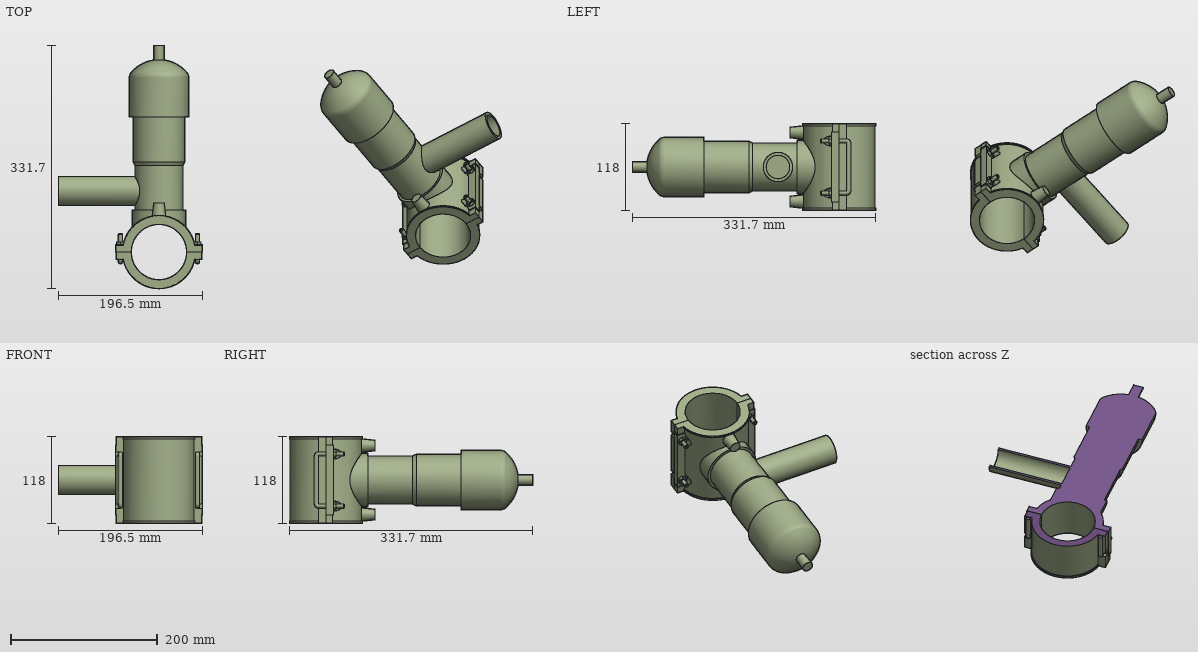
import cadquery as cq
import math


SADDLE_HEIGHT = 118.0
BORE_RADIUS = 37.5
SADDLE_RADIUS = 49.0
RIM_RADIUS = 50.0
RIM_HEIGHT = 3.0

FLANGE_HALF_WIDTH = 58.5
LOWER_FLANGE_THICKNESS = 10.0
UPPER_FLANGE_THICKNESS = 9.0
PAD_STEP = 1.0
PAD_HALF_WIDTH = FLANGE_HALF_WIDTH + PAD_STEP
PAD_THICKNESS = UPPER_FLANGE_THICKNESS + PAD_STEP
PAD_HEIGHT = 95.0

BOLT_DIAMETER = 6.0
BOLT_RADIUS = BOLT_DIAMETER / 2
BOLT_X = 52.5
BOLT_LEG_Z = 35.5
BOLT_END_Y = 25.0
BOLT_END_CHAMFER = 1.0
BEND_INNER_RADIUS = 0.05
BEND_RADIUS = BEND_INNER_RADIUS + BOLT_RADIUS
BRIDGE_Y = -(LOWER_FLANGE_THICKNESS + BEND_RADIUS)
BRIDGE_LENGTH = 2 * (BOLT_LEG_Z - BEND_RADIUS)
NUT_ACROSS_FLATS = 10.0
NUT_HEIGHT = 4.0
NUT_POCKET_RADIUS = 8.5

SLEEVE_RADIUS = 73.2 / 2
SLEEVE_END_Y = 57.0
TUBE_RADIUS = 65.88 / 2
TAPER_START_Y = 118.0
TAPER_END_Y = 123.0
BARREL_RADIUS = 70.76 / 2
CAP_START_Y = 184.0
CAP_RADIUS = 81.33 / 2
KNUCKLE_START_Y = 238.0
KNUCKLE_RADIUS = 10.0
CROWN_RADIUS = 50.0
NIPPLE_RADIUS = 14.64 / 2
NIPPLE_END_Y = 281.71

BRANCH_RADIUS = 40.0 / 2
BRANCH_BORE_RADIUS = 32.0 / 2
BRANCH_Y = 83.2
BRANCH_END_X = -137.0

STUB_Z = 47.0
STUB_END_Y = 67.0
STUB_END_RADIUS = NIPPLE_RADIUS
STUB_BASE_RADIUS = 9.3


def block(x_half, y_start, y_end, height):
    """A block centred on X and Z between two Y planes."""
    return cq.Workplane("XY").box(2 * x_half, y_end - y_start, height).translate((0, (y_start + y_end) / 2, 0))


def disc(radius, height):
    """A Z cylinder centred on the origin."""
    return cq.Workplane("XY", origin=(0, 0, -height / 2)).circle(radius).extrude(height)


def rod_along_y(radius, x, z, y_start, y_end):
    """A Y cylinder between two Y planes."""
    return cq.Workplane("XZ", origin=(x, y_start, z)).circle(radius).extrude(y_start - y_end)


def saddle_half(side, flange):
    """Half of the rimmed saddle with its flange; side is +1 for +Y and -1 for -Y."""
    saddle = disc(SADDLE_RADIUS, SADDLE_HEIGHT)
    for end in (1, -1):
        rim = disc(RIM_RADIUS, RIM_HEIGHT)
        saddle = saddle.union(rim.translate((0, 0, end * (SADDLE_HEIGHT - RIM_HEIGHT) / 2)))
    y_range = sorted((0, side * RIM_RADIUS))
    half_space = block(RIM_RADIUS, *y_range, SADDLE_HEIGHT)
    return saddle.intersect(half_space).union(flange)


def valve_tube():
    """The sleeve, tube, barrel, domed cap and nipple, as one solid of revolution."""
    knuckle_centre_r = CAP_RADIUS - KNUCKLE_RADIUS
    centre_distance = CROWN_RADIUS - KNUCKLE_RADIUS
    crown_centre_y = KNUCKLE_START_Y - math.sqrt(centre_distance**2 - knuckle_centre_r**2)
    crown_angle = math.asin(knuckle_centre_r / centre_distance)
    nipple_angle = math.asin(NIPPLE_RADIUS / CROWN_RADIUS)

    def on_crown(angle):
        return (CROWN_RADIUS * math.sin(angle), crown_centre_y + CROWN_RADIUS * math.cos(angle))

    knuckle_middle = (crown_angle + math.pi / 2) / 2
    knuckle_point = (
        knuckle_centre_r + KNUCKLE_RADIUS * math.sin(knuckle_middle),
        KNUCKLE_START_Y + KNUCKLE_RADIUS * math.cos(knuckle_middle),
    )
    return (
        cq.Workplane("XY")
        .moveTo(0, 0)
        .lineTo(SLEEVE_RADIUS, 0)
        .lineTo(SLEEVE_RADIUS, SLEEVE_END_Y)
        .lineTo(TUBE_RADIUS, SLEEVE_END_Y)
        .lineTo(TUBE_RADIUS, TAPER_START_Y)
        .lineTo(BARREL_RADIUS, TAPER_END_Y)
        .lineTo(BARREL_RADIUS, CAP_START_Y)
        .lineTo(CAP_RADIUS, CAP_START_Y)
        .lineTo(CAP_RADIUS, KNUCKLE_START_Y)
        .threePointArc(knuckle_point, on_crown(crown_angle))
        .threePointArc(on_crown((crown_angle + nipple_angle) / 2), on_crown(nipple_angle))
        .lineTo(NIPPLE_RADIUS, NIPPLE_END_Y)
        .lineTo(0, NIPPLE_END_Y)
        .close()
        .revolve(360, (0, 0, 0), (0, 1, 0))
    )


def branch_rod(radius, x_end):
    """An X cylinder on the branch axis, from the open end of the branch to x_end."""
    return cq.Workplane("YZ", origin=(BRANCH_END_X, BRANCH_Y, 0)).circle(radius).extrude(x_end - BRANCH_END_X)


def stub(z):
    """A stub along Y that tapers outside the saddle wall."""
    return (
        cq.Workplane("XY")
        .lineTo(STUB_BASE_RADIUS, 0)
        .lineTo(STUB_BASE_RADIUS, SADDLE_RADIUS)
        .lineTo(STUB_END_RADIUS, STUB_END_Y)
        .lineTo(0, STUB_END_Y)
        .close()
        .revolve(360, (0, 0, 0), (0, 1, 0))
        .translate((0, 0, z))
    )


def u_bolt(x):
    """A U-bolt with two nuts; the legs run along Y and the bridge runs along Z."""
    bolt = disc(BOLT_RADIUS, BRIDGE_LENGTH).translate((x, BRIDGE_Y, 0))
    for end in (1, -1):
        leg_z = end * BOLT_LEG_Z
        leg = rod_along_y(BOLT_RADIUS, x, leg_z, -LOWER_FLANGE_THICKNESS, BOLT_END_Y)
        leg = leg.faces(">Y").chamfer(BOLT_END_CHAMFER)
        bend = (
            cq.Workplane("XZ", origin=(x, -LOWER_FLANGE_THICKNESS, leg_z))
            .circle(BOLT_RADIUS)
            .revolve(90, (-end, -end * BEND_RADIUS, 0), (end, -end * BEND_RADIUS, 0))
        )
        nut = (
            cq.Workplane("XZ", origin=(x, PAD_THICKNESS, leg_z))
            .polygon(6, NUT_ACROSS_FLATS / math.cos(math.pi / 6))
            .extrude(-NUT_HEIGHT)
            .rotate((x, 0, leg_z), (x, 1, leg_z), 30)
        )
        bolt = bolt.union(leg).union(bend).union(nut)
    return bolt


def upper_body():
    """The upper saddle half with the tubes, stubs, U-bolts and nuts."""
    flange = block(FLANGE_HALF_WIDTH, 0, UPPER_FLANGE_THICKNESS, SADDLE_HEIGHT)
    flange = flange.union(block(PAD_HALF_WIDTH, 0, PAD_THICKNESS, PAD_HEIGHT))
    body = saddle_half(1, flange)
    for x in (-BOLT_X, BOLT_X):
        for z in (-BOLT_LEG_Z, BOLT_LEG_Z):
            body = body.cut(rod_along_y(NUT_POCKET_RADIUS, x, z, PAD_THICKNESS, BOLT_END_Y))
    body = body.union(valve_tube())
    body = body.union(branch_rod(BRANCH_RADIUS, 0))
    body = body.cut(branch_rod(BRANCH_BORE_RADIUS, -TUBE_RADIUS))
    for z in (-STUB_Z, STUB_Z):
        body = body.union(stub(z))
    body = body.cut(disc(BORE_RADIUS, SADDLE_HEIGHT))
    for x in (-BOLT_X, BOLT_X):
        body = body.union(u_bolt(x))
    return body


def lower_body():
    """The lower saddle half, with side slots that the U-bolt legs drop into."""
    flange = block(FLANGE_HALF_WIDTH, -LOWER_FLANGE_THICKNESS, 0, SADDLE_HEIGHT)
    body = saddle_half(-1, flange).cut(disc(BORE_RADIUS, SADDLE_HEIGHT))
    slot_length = FLANGE_HALF_WIDTH - BOLT_X
    for side in (1, -1):
        x = side * BOLT_X
        for z in (-BOLT_LEG_Z, BOLT_LEG_Z):
            round_end = rod_along_y(BOLT_RADIUS, x, z, -LOWER_FLANGE_THICKNESS, 0)
            opening = cq.Workplane("XY").box(slot_length, LOWER_FLANGE_THICKNESS, BOLT_DIAMETER)
            opening = opening.translate((x + side * slot_length / 2, -LOWER_FLANGE_THICKNESS / 2, z))
            body = body.cut(round_end).cut(opening)
    return body


result = cq.Compound.makeCompound([upper_body().val(), lower_body().val()])